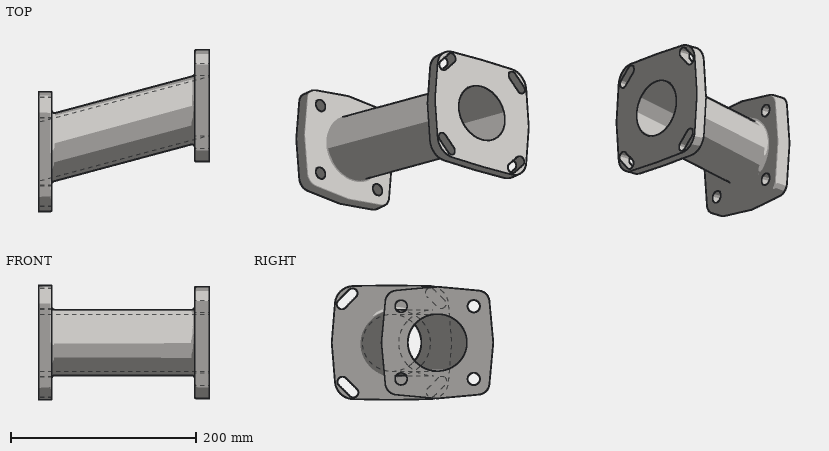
import cadquery as cq
import math

total_length = 184.2
tube_angle = 15.0
flange_offset = 49.5
tube_radius = 35.5
bore_radius = 30.8
root_fillet = 3.0

slotted_thickness = 14.2
slotted_half_width = 64.6
slotted_half_height = 61.9
slotted_side_slope = 4.7
slotted_top_slope = 1.0
slotted_top_flat = 2.8
slotted_corner_radius = 20.6
slotted_edge_round = 1.5
slot_circle_radius = 67.4
slot_count = 4
slot_spacing = 16.4
slot_width = 10.7
slot_turn = 0.5

drilled_thickness = 15.8
drilled_half_size = 60.4
drilled_slope = 5.3
drilled_corner_radius = 12.9
drilled_edge_round = 2.0
hole_pitch = 78.5
hole_diameter = 13.0

slant = math.tan(math.radians(tube_angle))
axis_start_y = flange_offset - total_length * slant
cut_margin = 18.5
root_search = 1.8


def flange(half_width, half_height, side_slope, top_slope, top_flat, corner_radius, thickness):
    """Plate in YZ from X = 0, its sides bulging to shallow peaks and its corners rounded."""
    side_run = math.tan(math.radians(side_slope))
    top_run = math.tan(math.radians(top_slope))
    half_flat = top_flat / 2
    corner_y = (half_width - side_run * (half_height + top_run * half_flat)) / (1 - side_run * top_run)
    corner_z = half_height - top_run * (corner_y - half_flat)
    top = [(half_flat, half_height)]
    if half_flat > 0:
        top.append((-half_flat, half_height))
    upper = [(corner_y, corner_z)] + top + [(-corner_y, corner_z)]
    lower = [(-y, -z) for y, z in upper]
    outline = [(half_width, 0)] + upper + [(-half_width, 0)] + lower
    plate = cq.Workplane("YZ").polyline(outline).close().extrude(thickness)
    for y_side in (-corner_y, corner_y):
        for z_side in (-corner_z, corner_z):
            corner = cq.selectors.NearestToPointSelector((thickness / 2, y_side, z_side))
            plate = plate.edges("|X").edges(corner).fillet(corner_radius)
    return plate


def slanted_cylinder(radius):
    """Cylinder along the tube axis, running past both ends of the part."""
    angle = math.radians(tube_angle)
    direction = cq.Vector(math.cos(angle), math.sin(angle), 0)
    start = cq.Vector(-cut_margin, axis_start_y - cut_margin * slant, 0)
    length = (total_length + 2 * cut_margin) / math.cos(angle)
    return cq.Workplane(cq.Solid.makeCylinder(radius, length, start, direction))


def slotted_flange():
    """Left flange before slotting, with its inner rim rounded."""
    plate = flange(slotted_half_width, slotted_half_height, slotted_side_slope, slotted_top_slope,
                   slotted_top_flat, slotted_corner_radius, slotted_thickness)
    return plate.faces(">X").edges().fillet(slotted_edge_round)


def slots():
    """Four slots spread around the left mouth of the bore."""
    first_angle = 45 + slot_turn
    return (
        cq.Workplane("YZ", origin=(0, axis_start_y, 0))
        .polarArray(slot_circle_radius, first_angle, 360, slot_count)
        .slot2D(slot_spacing + slot_width, slot_width, 90)
        .extrude(slotted_thickness)
    )


def drilled_flange():
    """Right flange, with its inner rim rounded and four round holes."""
    plate = flange(drilled_half_size, drilled_half_size, drilled_slope, drilled_slope,
                   0, drilled_corner_radius, drilled_thickness)
    plate = plate.faces("<X").edges().fillet(drilled_edge_round)
    holes = (
        cq.Workplane("YZ")
        .rect(hole_pitch, hole_pitch, forConstruction=True)
        .vertices()
        .circle(hole_diameter / 2)
        .extrude(drilled_thickness)
    )
    return plate.cut(holes).translate((total_length - drilled_thickness, flange_offset, 0))


def tube():
    """Slanted tube body trimmed flush with the outer flange faces."""
    trim_size = 4 * (tube_radius + flange_offset)
    trim = cq.Workplane("YZ").rect(trim_size, trim_size).extrude(total_length)
    return slanted_cylinder(tube_radius).intersect(trim)


body = slotted_flange().cut(slots()).union(drilled_flange()).union(tube())

for root_x in (slotted_thickness, total_length - drilled_thickness):
    root_y = axis_start_y + root_x * slant
    root = cq.selectors.BoxSelector(
        (root_x - root_search, root_y - root_search, -root_search),
        (root_x + root_search, root_y + root_search, root_search),
    )
    body = body.edges(root).fillet(root_fillet)

result = body.cut(slanted_cylinder(bore_radius))